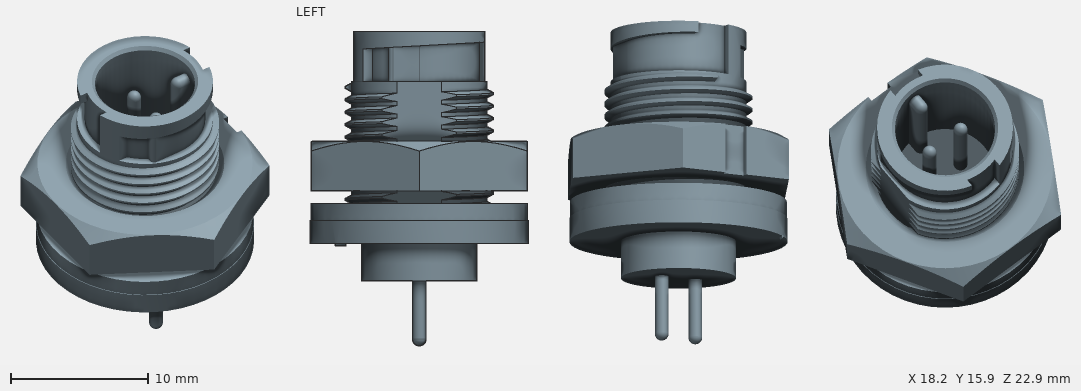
import cadquery as cq
import math


flange_radius = 7.95
flange_step_height = 1.67
flange_top = 2.93
flange_top_radius = 7.9

mark_x = -5.26
mark_y = 5.72
mark_length = 0.82
mark_width = 0.14
mark_depth = 0.15
mark_angle = -20

boss_radius = 4.2
boss_length = 2.7
pin_radius = 0.5
pin_spacing = 2.88
pin_bottom = -7.45
pin_top = 13.32

shell_top = 15.45
shell_radius = 4.95
bayonet_floor = 11.79
bayonet_floor_radius = 4.4
entry_width = 2.56
ramp_high = 14.67
ramp_middle = 14.4
groove_end_x = 2.77
stop_width = 2.25
stop_fillet = 0.35
stop_root_x = 3.55

cavity_radius = 3.65
cavity_chamfer = 0.23
cavity_depth = 9.38
key_center_y = 2.84
key_top = 14.3

thread_root_radius = shell_radius
thread_crest_radius = 5.4
thread_base_width = 0.62
thread_crest_width = 0.14
thread_embed = 0.1
thread_start = 2.31
thread_end = 11.38
thread_turns = 10
thread_pitch = (thread_end - thread_start) / thread_turns
key_flat_x = 4.67

nut_across_corners = 18.17
nut_bottom = 3.85
nut_top = 7.46
nut_chamfer_radius = 7.83
nut_chamfer_angle = 30.0
nut_bore_radius = 5.1
nut_mouth_radius = 5.77
nut_notch_width = 1.79
nut_notch_floor_y = 7.46


def disc(radius, bottom, top):
    """Solid cylinder on the connector axis."""
    return cq.Workplane("XY").workplane(offset=bottom).circle(radius).extrude(top - bottom)


def build_threaded_rod():
    """Full round barrel with a right-handed helical ridge that ends on the +Y side."""
    inner = thread_root_radius - thread_embed
    half_crest = thread_crest_width / 2
    flank_slope = (thread_base_width / 2 - half_crest) / (thread_crest_radius - thread_root_radius)
    half_inner = half_crest + flank_slope * (thread_crest_radius - inner)
    path = cq.Wire.makeHelix(thread_pitch, thread_end - thread_start, thread_root_radius)
    ridge = (
        cq.Workplane("XZ")
        .moveTo(inner, -half_inner)
        .lineTo(thread_crest_radius, -half_crest)
        .lineTo(thread_crest_radius, half_crest)
        .lineTo(inner, half_inner)
        .close()
        .sweep(cq.Workplane(path), isFrenet=True)
        .rotate((0, 0, 0), (0, 0, 1), 90)
        .translate((0, 0, thread_start))
    )
    core = disc(thread_root_radius, flange_step_height, bayonet_floor)
    return core.union(ridge, clean=False)


def bayonet_cut():
    """Entry slot at -Y and the groove that runs from it round the -X side."""
    reach = shell_radius + 0.23
    depth = shell_top - bayonet_floor
    entry = cq.Workplane("XY").box(entry_width, reach, depth, centered=(True, False, False))
    entry = entry.translate((0, -reach, bayonet_floor))

    fall = (ramp_high - ramp_middle) / shell_radius * reach
    groove = (
        cq.Workplane("YZ")
        .moveTo(-reach, bayonet_floor)
        .lineTo(reach, bayonet_floor)
        .lineTo(reach, ramp_middle - fall)
        .lineTo(-reach, ramp_middle + fall)
        .close()
        .extrude(-reach)
    )
    end_land = cq.Workplane("XY").box(groove_end_x, reach, depth, centered=(False, False, False))
    end_land = end_land.translate((-groove_end_x, 0, bayonet_floor))

    stop = (
        cq.Workplane("XY")
        .box(bayonet_floor_radius - stop_root_x, stop_width, depth, centered=False)
        .translate((-bayonet_floor_radius, 0, bayonet_floor))
        .edges("|Z and <X and >Y")
        .fillet(stop_fillet)
    )
    core = disc(bayonet_floor_radius, bayonet_floor, shell_top)
    return groove.cut(end_land).union(entry).cut(core).cut(stop)


def contact_pin(x):
    """Straight round pin with a hemispherical tip at both ends."""
    straight_bottom = pin_bottom + pin_radius
    straight_top = pin_top - pin_radius
    pin = disc(pin_radius, straight_bottom, straight_top)
    for tip_z in (straight_bottom, straight_top):
        pin = pin.union(cq.Workplane("XY").sphere(pin_radius).translate((0, 0, tip_z)))
    return pin.translate((x, 0, 0))


def polarising_key(cavity_floor):
    """Rib on the +Y cavity wall with a rounded nose and a rounded top."""
    ridge_z = key_top - pin_radius
    reach = cavity_radius + 0.23 - key_center_y
    nose = disc(pin_radius, cavity_floor, ridge_z)
    nose = nose.union(cq.Workplane("XY").sphere(pin_radius).translate((0, 0, ridge_z)))
    web = (
        cq.Workplane("XY")
        .box(2 * pin_radius, reach, ridge_z - cavity_floor, centered=(True, False, False))
        .translate((0, 0, cavity_floor))
    )
    rounded_top = cq.Workplane("XZ").center(0, ridge_z).circle(pin_radius).extrude(-reach)
    return nose.union(web).union(rounded_top).translate((0, key_center_y, 0))


def underside_mark():
    """Triangular ridge that hangs below the flange."""
    return (
        cq.Workplane("XZ")
        .moveTo(-mark_width / 2, 0)
        .lineTo(mark_width / 2, 0)
        .lineTo(0, -mark_depth)
        .close()
        .extrude(mark_length / 2, both=True)
        .rotate((0, 0, 0), (0, 0, 1), mark_angle)
        .translate((mark_x, mark_y, 0))
    )


def flared_mouth(top_radius, bottom_radius, top):
    """45 degree conical plug that widens upwards to a given level."""
    return (
        cq.Workplane("XY")
        .workplane(offset=top)
        .circle(top_radius)
        .workplane(offset=bottom_radius - top_radius)
        .circle(bottom_radius)
        .loft()
    )


def build_housing(threaded_rod):
    housing = (
        disc(boss_radius, -boss_length, 0)
        .union(disc(flange_radius, 0, flange_step_height))
        .union(disc(flange_top_radius, flange_step_height, flange_top))
        .union(underside_mark())
    )

    flat_side = (
        cq.Workplane("XY")
        .box(2 * flange_radius, 2 * flange_radius, bayonet_floor, centered=(False, True, False))
        .translate((-key_flat_x, 0, 0))
    )
    barrel = threaded_rod.intersect(flat_side, clean=False)

    shell = disc(shell_radius, bayonet_floor, shell_top)
    for turn in (0, 180):
        shell = shell.cut(bayonet_cut().rotate((0, 0, 0), (0, 0, 1), turn))
    housing = housing.union(barrel, clean=False).union(shell, clean=False)

    cavity_floor = shell_top - cavity_depth
    cavity = disc(cavity_radius, cavity_floor, shell_top)
    mouth = flared_mouth(cavity_radius + cavity_chamfer, cavity_radius, shell_top)
    housing = housing.cut(cavity, clean=False).cut(mouth, clean=False)

    housing = housing.union(polarising_key(cavity_floor), clean=False)
    for side in (-1, 1):
        housing = housing.union(contact_pin(side * pin_spacing / 2), clean=False)
    return housing


def build_nut(threaded_rod):
    corner_radius = nut_across_corners / 2
    height = nut_top - nut_bottom
    nut = cq.Workplane("XY").workplane(offset=nut_bottom).polygon(6, nut_across_corners).extrude(height)

    drop = (corner_radius - nut_chamfer_radius) * math.tan(math.radians(nut_chamfer_angle))
    envelope = (
        cq.Workplane("XZ")
        .moveTo(0, nut_bottom)
        .lineTo(corner_radius, nut_bottom)
        .lineTo(corner_radius, nut_top - drop)
        .lineTo(nut_chamfer_radius, nut_top)
        .lineTo(0, nut_top)
        .close()
        .revolve(360, (0, 0, 0), (0, 1, 0))
    )
    nut = nut.intersect(envelope)

    nut = nut.cut(threaded_rod, clean=False)
    nut = nut.cut(disc(nut_bore_radius, nut_bottom, nut_top), clean=False)
    nut = nut.cut(flared_mouth(nut_mouth_radius, nut_bore_radius, nut_top), clean=False)

    notch = (
        cq.Workplane("XY")
        .box(nut_notch_width, corner_radius - nut_notch_floor_y, height, centered=(True, False, False))
        .translate((0, nut_notch_floor_y, nut_bottom))
    )
    return nut.cut(notch, clean=False)


threaded_rod = build_threaded_rod()
housing = build_housing(threaded_rod)
nut = build_nut(threaded_rod)

result = cq.Compound.makeCompound([*housing.vals(), *nut.vals()])